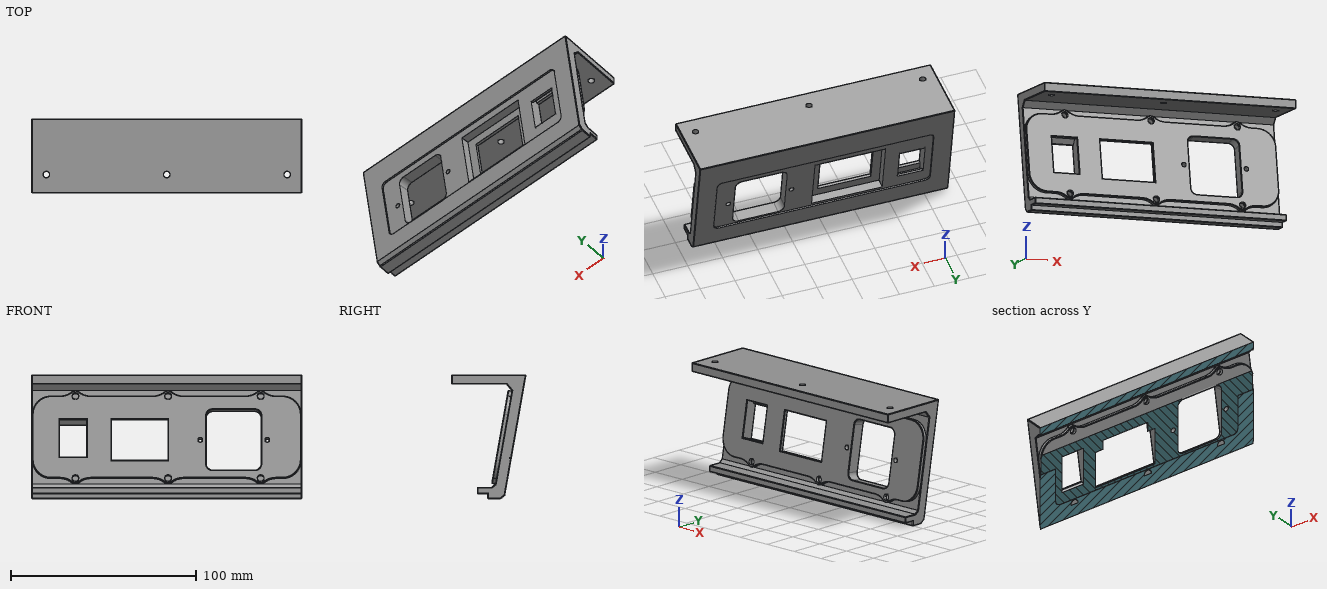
import cadquery as cq
import math

LENGTH = 145.97
DEPTH = 40.19
HEIGHT = 67.0
TILT = 10.0
EDGE_BREAK = 0.4
PANEL_THICKNESS = 6.0
PLATE_THICKNESS = 5.0
PLATE_CHAMFER = 3.6
LEDGE_TOP = 6.3
LEDGE_BOTTOM = 2.8
LEDGE_TIP_Y = -26.3
FOOT_FRONT_Y = -20.7
LEDGE_CHAMFER = 1.75
FOOT_CHAMFER = 2.0

MOUNT_DIAMETER = 3.4
MOUNT_PITCH = 65.0
MOUNT_SETBACK = 10.0

COVER_THICKNESS = 2.1
COVER_LENGTH = 145.0
COVER_WIDTH = 45.0
COVER_CORNER = 10.0
COVER_CENTRE_Z = HEIGHT / 2
LOBE_RADIUS = 3.0
LOBE_BLEND = 10.0
SCREW_DIAMETER = 3.6
SCREW_PITCH = 50.0
SCREW_CENTRE_X = 0.7
INSERT_DIAMETER = 4.7
INSERT_DEPTH = 4.7

PLUG_LENGTH = 124.0
PLUG_WIDTH = 38.4
PLUG_CORNER = 3.0
PLUG_DEPTH = 5.0

SWITCH_X, SWITCH_V = -50.55, -0.65
SWITCH_WIDTH, SWITCH_HEIGHT = 14.6, 20.6
SNAP_TOP_DROP = 2.0
SNAP_BOTTOM_DROP = 0.5
SNAP_LIP = 1.2

DISPLAY_X, DEVICE_V = -14.6, -1.5
DISPLAY_WIDTH, DISPLAY_HEIGHT = 30.4, 22.4
DISPLAY_CLEARANCE = 5.0

SOCKET_X = 36.15
SOCKET_WIDTH, SOCKET_HEIGHT = 29.6, 33.2
SOCKET_CORNER = 3.5
SOCKET_SCREW_DIAMETER = 2.6
SOCKET_SCREW_PITCH = 36.2

SIN_TILT = math.sin(math.radians(TILT))
COS_TILT = math.cos(math.radians(TILT))
TAN_TILT = SIN_TILT / COS_TILT
THROUGH = 2 * PANEL_THICKNESS


def rear_y(z):
    """Y of the panel's rear face at height z."""
    return -(HEIGHT - z) * TAN_TILT


def inner_y(z):
    """Y of the panel's front face at height z."""
    return rear_y(z) - PANEL_THICKNESS / COS_TILT


panel_centre_z = COVER_CENTRE_Z - COVER_THICKNESS * SIN_TILT
panel_face = cq.Plane(
    origin=(0, inner_y(panel_centre_z), panel_centre_z),
    xDir=(1, 0, 0),
    normal=(0, -COS_TILT, SIN_TILT),
)

along_normal = cq.selectors.ParallelDirSelector(panel_face.zDir)
foremost = cq.selectors.DirectionMinMaxSelector(panel_face.zDir)

screw_points = [
    (SCREW_CENTRE_X + column * SCREW_PITCH, side * COVER_WIDTH / 2)
    for column in (-1, 0, 1)
    for side in (-1, 1)
]
socket_screw_points = [(SOCKET_X + side * SOCKET_SCREW_PITCH / 2, DEVICE_V) for side in (-1, 1)]


def bracket_blank():
    """Top plate, leaning panel and bottom ledge as one extrusion."""
    plate_bottom = HEIGHT - PLATE_THICKNESS
    gusset_top_z = plate_bottom - PLATE_CHAMFER * COS_TILT
    gusset_ledge_z = LEDGE_TOP + LEDGE_CHAMFER * COS_TILT
    foot_rear_z = FOOT_CHAMFER * COS_TILT
    profile = [
        (0, HEIGHT),
        (-DEPTH, HEIGHT),
        (-DEPTH, plate_bottom),
        (inner_y(plate_bottom) - PLATE_CHAMFER, plate_bottom),
        (inner_y(gusset_top_z), gusset_top_z),
        (inner_y(gusset_ledge_z), gusset_ledge_z),
        (inner_y(LEDGE_TOP) - LEDGE_CHAMFER, LEDGE_TOP),
        (LEDGE_TIP_Y, LEDGE_TOP),
        (LEDGE_TIP_Y, LEDGE_BOTTOM),
        (FOOT_FRONT_Y, LEDGE_BOTTOM),
        (FOOT_FRONT_Y, 0),
        (rear_y(0) - FOOT_CHAMFER, 0),
        (rear_y(foot_rear_z), foot_rear_z),
    ]
    blank = cq.Workplane("YZ").polyline(profile).close().extrude(LENGTH / 2, both=True)
    ledge_tip = cq.selectors.BoxSelector(
        (-LENGTH, LEDGE_TIP_Y - EDGE_BREAK, LEDGE_BOTTOM - EDGE_BREAK),
        (LENGTH, LEDGE_TIP_Y + EDGE_BREAK, LEDGE_TOP + EDGE_BREAK),
    )
    blank = blank.edges("|X").edges("<Y or >Y or <Z").chamfer(EDGE_BREAK)
    blank = blank.edges("|X").edges(ledge_tip).chamfer(EDGE_BREAK)
    return blank.faces("<X or >X").chamfer(EDGE_BREAK)


def mount_holes():
    points = [(column * MOUNT_PITCH, MOUNT_SETBACK - DEPTH) for column in (-1, 0, 1)]
    return (
        cq.Workplane("XY", origin=(0, 0, HEIGHT))
        .pushPoints(points)
        .circle(MOUNT_DIAMETER / 2)
        .extrude(-PLATE_THICKNESS)
    )


def slope_box(x, v, width, height):
    """Rectangular cutter through both bodies, square to the panel."""
    return (
        cq.Workplane(panel_face)
        .center(x, v)
        .rect(width, height)
        .extrude(THROUGH, both=True)
    )


def socket_opening():
    """Rounded socket opening through both bodies."""
    opening = slope_box(SOCKET_X, DEVICE_V, SOCKET_WIDTH, SOCKET_HEIGHT)
    return opening.edges(along_normal).fillet(SOCKET_CORNER)


def socket_screw_holes():
    return (
        cq.Workplane(panel_face)
        .pushPoints(socket_screw_points)
        .circle(SOCKET_SCREW_DIAMETER / 2)
        .extrude(THROUGH, both=True)
    )


def plug_solid(depth):
    """Rounded block reaching back from the panel's front face."""
    block = cq.Workplane(panel_face).rect(PLUG_LENGTH, PLUG_WIDTH).extrude(-depth)
    return block.edges(along_normal).fillet(PLUG_CORNER)


def snap_cutter():
    """Switch opening in the plug: a thin lip at the back, flared at 45 degrees to the front."""
    flare = PLUG_DEPTH - SNAP_LIP
    top = SWITCH_V + SWITCH_HEIGHT / 2 - SNAP_TOP_DROP
    bottom = SWITCH_V - SWITCH_HEIGHT / 2 - SNAP_BOTTOM_DROP
    side_plane = cq.Plane(
        origin=panel_face.toWorldCoords((SWITCH_X - SWITCH_WIDTH / 2, 0, 0)),
        xDir=panel_face.yDir,
        normal=(1, 0, 0),
    )
    profile = [
        (bottom - flare, 0),
        (bottom, -flare),
        (bottom, -THROUGH),
        (top, -THROUGH),
        (top, -flare),
        (top + flare, 0),
    ]
    return cq.Workplane(side_plane).polyline(profile).close().extrude(SWITCH_WIDTH)


def display_clearance():
    return slope_box(
        DISPLAY_X,
        DEVICE_V,
        DISPLAY_WIDTH + 2 * DISPLAY_CLEARANCE,
        DISPLAY_HEIGHT + 2 * DISPLAY_CLEARANCE,
    )


def insert_holes():
    return (
        cq.Workplane(panel_face)
        .pushPoints(screw_points)
        .circle(INSERT_DIAMETER / 2)
        .extrude(-INSERT_DEPTH)
    )


def lobe(x, side):
    """Screw lobe on a long edge: a round nose that runs into the edge through two blends."""
    edge = side * COVER_WIDTH / 2
    reach = LOBE_RADIUS + LOBE_BLEND
    foot = math.sqrt(reach**2 - LOBE_BLEND**2)
    tangent_x = foot * LOBE_RADIUS / reach
    tangent_v = edge + side * LOBE_BLEND * LOBE_RADIUS / reach
    half_angle = math.atan2(foot, LOBE_BLEND) / 2
    middle_x = foot - LOBE_BLEND * math.sin(half_angle)
    middle_v = edge + side * LOBE_BLEND * (1 - math.cos(half_angle))
    inside = edge - side * LOBE_RADIUS
    return (
        cq.Workplane(panel_face)
        .moveTo(x - foot, inside)
        .lineTo(x - foot, edge)
        .threePointArc((x - middle_x, middle_v), (x - tangent_x, tangent_v))
        .threePointArc((x, edge + side * LOBE_RADIUS), (x + tangent_x, tangent_v))
        .threePointArc((x + middle_x, middle_v), (x + foot, edge))
        .lineTo(x + foot, inside)
        .close()
        .extrude(COVER_THICKNESS)
    )


def build_bracket():
    body = bracket_blank().cut(mount_holes()).cut(insert_holes())
    window = plug_solid(THROUGH)
    return body.cut(window)


def cover_sheet():
    """Lobed sheet with the three openings, edges broken all round its front."""
    sheet = cq.Workplane(panel_face).rect(COVER_LENGTH, COVER_WIDTH).extrude(COVER_THICKNESS)
    sheet = sheet.edges(along_normal).fillet(COVER_CORNER)
    for x, v in screw_points:
        sheet = sheet.union(lobe(x, math.copysign(1, v)))
    sheet = sheet.cut(slope_box(SWITCH_X, SWITCH_V, SWITCH_WIDTH, SWITCH_HEIGHT))
    sheet = sheet.cut(slope_box(DISPLAY_X, DEVICE_V, DISPLAY_WIDTH, DISPLAY_HEIGHT))
    sheet = sheet.cut(socket_opening())
    return sheet.faces(foremost).chamfer(EDGE_BREAK)


def screw_holes():
    return (
        cq.Workplane(panel_face)
        .pushPoints(screw_points)
        .circle(SCREW_DIAMETER / 2)
        .extrude(COVER_THICKNESS)
    )


def build_faceplate():
    plug = plug_solid(PLUG_DEPTH).cut(snap_cutter()).cut(display_clearance()).cut(socket_opening())
    plate = cover_sheet().union(plug)
    return plate.cut(screw_holes()).cut(socket_screw_holes())


bracket = build_bracket()
faceplate = build_faceplate()
result = cq.Compound.makeCompound([bracket.val(), faceplate.val()])